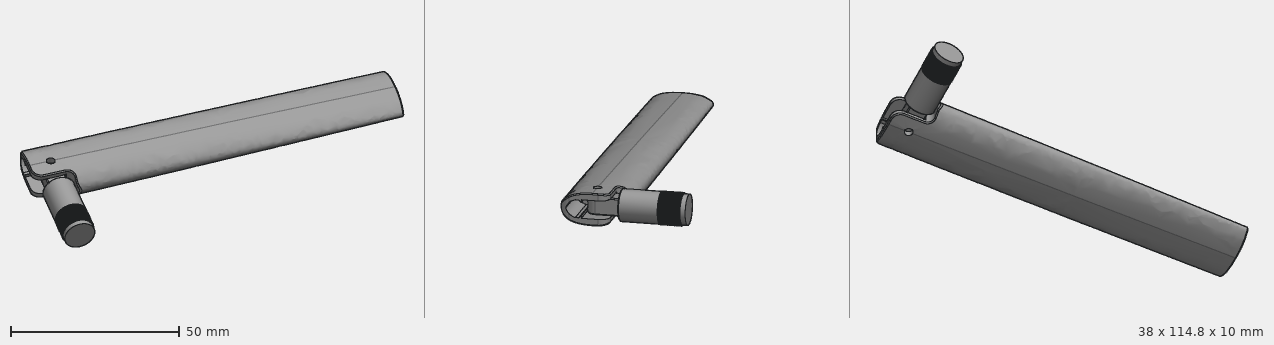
import cadquery as cq
import math

blade_length = 114.8
foot_section = (0.0, 10.1, 5.0)
middle_section = (57.4, 10.0, 4.1)
tip_section = (blade_length, 9.5, 2.9)
section_shape = [(0.55, 0.87), (0.72, 0.73), (0.85, 0.54), (0.95, 0.33), (1.0, 0.0)]
tip_bulge = 0.7
tip_chamfer = 0.3

foot_right = 4.9
notch_top = 12.2
foot_corner_radius = 3.1
notch_inner_radius = 2.3
notch_outer_radius = 1.4
foot_chamfer = 0.3

hinge_y = 6.9
hinge_hole_radius = 1.3
tongue_half_width = 3.0
tongue_half_thickness = 2.8
tongue_chamfer = 0.3
tongue_embed = 1.1
slot_half_height = 2.9
slot_radius = 3.3

passage_depth = 13.8
passage_half_height = 2.8
passage_left = -8.1
passage_left_shoulder = -5.2
passage_right_shoulder = -4.1
passage_right = -2.6
passage_bulge = (-7.0, 1.7)

barrel_start = 7.2
knurl_start = 19.4
knurl_end = 26.3
barrel_end = 27.9
barrel_radius = 4.9
knurl_radius = 5.0
collar_radius = 4.7
barrel_chamfer = 0.3
knurl_teeth_around = 60
knurl_teeth_along = 13
knurl_depth = 0.3


def section_wire(station):
    """Closed lens-shaped section at one station, made of a left and a right curve."""
    y, half_width, half_thickness = station
    upper = [(half_width * u, half_thickness * v) for u, v in section_shape]
    lower = [(x, -z) for x, z in reversed(upper[:-1])]
    ends = [(0, half_thickness), (0, -half_thickness)]
    right = [ends[0]] + upper + lower + [ends[1]]

    def curve(side):
        points = [cq.Vector(side * x, y, z) for x, z in right]
        tangents = [cq.Vector(side, 0, 0), cq.Vector(-side, 0, 0)]
        return cq.Edge.makeSpline(points, tangents=tangents, scale=False)

    return cq.Wire.assembleEdges([curve(1), curve(-1)])


def blade_blank():
    wires = [section_wire(s) for s in (foot_section, middle_section, tip_section)]
    return cq.Workplane(cq.Solid.makeLoft(wires))


def blade_plan():
    """Plan outline of the blade, as a prism that trims the blank."""
    half_width = foot_section[1] + 0.1
    reach = 2 * foot_section[2]
    shoulder = blade_length - tip_bulge
    prism = (
        cq.Workplane("XY").workplane(offset=-reach)
        .moveTo(-half_width, 0)
        .lineTo(foot_right, 0)
        .lineTo(foot_right, notch_top)
        .lineTo(half_width, notch_top)
        .lineTo(half_width, shoulder)
        .threePointArc((0, blade_length), (-half_width, shoulder))
        .close()
        .extrude(2 * reach)
    )

    def corner(x, y):
        return cq.selectors.BoxSelector((x - 0.1, y - 0.1, -reach), (x + 0.1, y + 0.1, reach))

    prism = prism.edges(corner(-half_width, 0)).fillet(foot_corner_radius)
    prism = prism.edges(corner(foot_right, 0)).fillet(foot_corner_radius)
    prism = prism.edges(corner(foot_right, notch_top)).fillet(notch_inner_radius)
    prism = prism.edges(corner(half_width, notch_top)).fillet(notch_outer_radius)
    return prism


def end_edges(y_low, y_high):
    """Selector for the edges that lie wholly between two Y positions."""
    reach = 2 * foot_section[1]
    return cq.selectors.BoxSelector((-reach, y_low, -reach), (reach, y_high, reach))


def hinge_slot():
    """Open to -Y and +X, so that the tongue can swing a quarter turn about the hinge axis."""
    height = 2 * slot_half_height
    reach = foot_section[1] + slot_radius
    base = cq.Workplane("XY").workplane(offset=-slot_half_height)
    round_end = base.center(0, hinge_y).circle(slot_radius).extrude(height)
    below = base.moveTo(-slot_radius, 0).rect(reach, hinge_y, centered=False).extrude(height)
    beside = base.moveTo(0, hinge_y).rect(reach, slot_radius, centered=False).extrude(height)
    return round_end.union(below).union(beside)


def cable_passage():
    bulge_x, bulge_z = passage_bulge
    return (
        cq.Workplane("XZ")
        .moveTo(passage_left_shoulder, passage_half_height)
        .lineTo(passage_right_shoulder, passage_half_height)
        .threePointArc((passage_right, 0), (passage_right_shoulder, -passage_half_height))
        .lineTo(passage_left_shoulder, -passage_half_height)
        .threePointArc((bulge_x, -bulge_z), (passage_left, 0))
        .threePointArc((bulge_x, bulge_z), (passage_left_shoulder, passage_half_height))
        .close()
        .extrude(-passage_depth)
    )


def make_blade():
    blade = blade_blank().intersect(blade_plan())
    blade = blade.edges(end_edges(-1.1, notch_top + notch_outer_radius)).chamfer(foot_chamfer)
    blade = blade.edges(end_edges(blade_length - 2 * tip_bulge, blade_length + 1.1)).chamfer(tip_chamfer)
    hole = (
        cq.Workplane("XY").workplane(offset=-2 * foot_section[2])
        .center(0, hinge_y).circle(hinge_hole_radius).extrude(4 * foot_section[2])
    )
    return blade.cut(hinge_slot()).cut(cable_passage()).cut(hole)


def tongue():
    base = cq.Workplane("XY").workplane(offset=-tongue_half_thickness)
    height = 2 * tongue_half_thickness
    knuckle = base.center(0, hinge_y).circle(tongue_half_width).extrude(height)
    bar = (
        base.moveTo(0, hinge_y - tongue_half_width)
        .rect(barrel_start + tongue_embed, 2 * tongue_half_width, centered=False).extrude(height)
    )
    plate = knuckle.union(bar).faces("|Z").edges().chamfer(tongue_chamfer)
    return plate.cut(cable_passage())


def cylinder_along_x(radius, start, end):
    return cq.Workplane("YZ", origin=(start, hinge_y, 0)).circle(radius).extrude(end - start)


def knurl():
    """Pyramid teeth: the common volume of a star prism and a stack of double cones."""
    length = knurl_end - knurl_start
    root_radius = knurl_radius - knurl_depth
    star_points = []
    for i in range(2 * knurl_teeth_around):
        angle = math.pi * i / knurl_teeth_around
        radius = root_radius if i % 2 else knurl_radius
        star_points.append((radius * math.cos(angle), radius * math.sin(angle)))
    star = cq.Workplane("YZ", origin=(knurl_start, hinge_y, 0)).polyline(star_points).close().extrude(length)

    pitch = length / knurl_teeth_along
    profile = [(0, 0), (0, root_radius)]
    for i in range(knurl_teeth_along):
        profile.append(((i + 0.5) * pitch, knurl_radius))
        profile.append(((i + 1) * pitch, root_radius))
    profile.append((length, 0))
    rings = (
        cq.Workplane("XY", origin=(knurl_start, hinge_y, 0))
        .polyline(profile).close().revolve(360, (0, 0, 0), (1, 0, 0))
    )
    return star.intersect(rings)


def make_connector():
    barrel = cylinder_along_x(barrel_radius, barrel_start, knurl_start).faces("<X").chamfer(barrel_chamfer)
    collar = cylinder_along_x(collar_radius, knurl_end, barrel_end)
    return tongue().union(barrel).union(knurl()).union(collar)


blade = make_blade()
connector = make_connector()
result = cq.Compound.makeCompound([blade.val(), connector.val()])